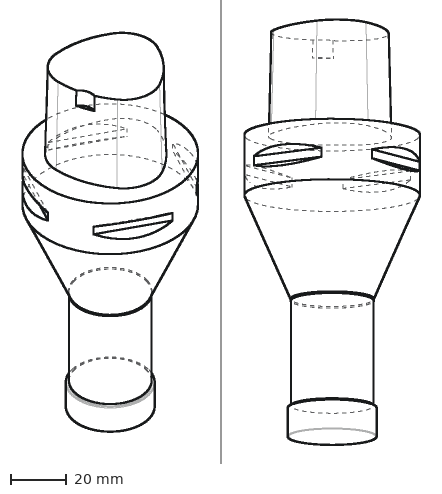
import cadquery as cq
import math

total_height = 148.0
shank_height = 37.9
collar_height = 22.0
cone_height = 37.7
head_height = 11.4
rim_height = 10.8

collar_top = total_height - shank_height
collar_bottom = collar_top - collar_height
cone_bottom = collar_bottom - cone_height

collar_radius = 63.0 / 2
neck_radius = 29.6 / 2
rim_radius = 32.0 / 2
rim_rounding = 0.3
land_step = 0.1
land_height = 0.6

lobe_reach = 23.4
side_reach = 20.1
lobe_radius = 14.4
shank_taper = math.degrees(math.atan(1 / 40))

notch_width = 7.7
notch_depth = 1.3
notch_height = 6.5

groove_count = 4
groove_first_angle = 45.0
groove_axis_height = 98.0
groove_floor_distance = 27.8
groove_floor_height = 3.3
groove_flank_angle = 30.0


def polar_point(center, radius, angle):
    """Point at the given radius and angle (degrees) around a center."""
    return (
        center[0] + radius * math.cos(math.radians(angle)),
        center[1] + radius * math.sin(math.radians(angle)),
    )


def make_shank():
    """Tapered prism bounded by three lobe arcs and three tangent side arcs."""
    axis = (0.0, 0.0)
    lobe_offset = lobe_reach - lobe_radius
    slack = lobe_reach - side_reach
    side_offset = slack * (2 * lobe_offset - slack) / (lobe_offset - 2 * slack)
    lobe_half_angle = 60 - math.degrees(
        math.atan2(
            lobe_offset * math.sin(math.radians(60)),
            lobe_offset * math.cos(math.radians(60)) + side_offset,
        )
    )

    lobe_angles = [90 + 120 * i for i in range(3)]
    first_center = polar_point(axis, lobe_offset, lobe_angles[0])
    outline = cq.Workplane("XY", origin=(0, 0, collar_top)).moveTo(
        *polar_point(first_center, lobe_radius, lobe_angles[0] - lobe_half_angle)
    )
    for angle in lobe_angles:
        center = polar_point(axis, lobe_offset, angle)
        next_center = polar_point(axis, lobe_offset, angle + 120)
        outline = outline.threePointArc(
            polar_point(axis, lobe_reach, angle),
            polar_point(center, lobe_radius, angle + lobe_half_angle),
        ).threePointArc(
            polar_point(axis, side_reach, angle + 60),
            polar_point(next_center, lobe_radius, angle + 120 - lobe_half_angle),
        )
    return outline.close().extrude(shank_height, taper=shank_taper)


def make_notch_cutter():
    """Upright cylinder that hollows the middle of the -Y side at the top."""
    half_width = notch_width / 2
    radius = (half_width**2 + notch_depth**2) / (2 * notch_depth)
    top_side_reach = side_reach - shank_height * math.tan(math.radians(shank_taper))
    center_y = -(top_side_reach - notch_depth + radius)
    return (
        cq.Workplane("XY", origin=(0, center_y, total_height - notch_height))
        .circle(radius)
        .extrude(notch_height)
    )


def make_groove_cutter(angle):
    """Straight groove with a flat floor and flaring flanks, at an angle around the axis."""
    half_floor = groove_floor_height / 2
    depth = collar_radius - groove_floor_distance
    half_mouth = half_floor + depth * math.tan(math.radians(groove_flank_angle))
    return (
        cq.Workplane("XZ", origin=(0, 0, groove_axis_height))
        .polyline([
            (groove_floor_distance, -half_floor),
            (collar_radius, -half_mouth),
            (collar_radius, half_mouth),
            (groove_floor_distance, half_floor),
        ])
        .close()
        .extrude(collar_radius, both=True)
        .rotate((0, 0, 0), (0, 0, 1), angle)
    )


def make_holder():
    """Collar, cone and neck turned about Z, with the shank on top."""
    land_radius = neck_radius + land_step
    turned = (
        cq.Workplane("XZ")
        .polyline([
            (0, head_height),
            (neck_radius, head_height),
            (neck_radius, cone_bottom - land_height),
            (land_radius, cone_bottom - land_height),
            (land_radius, cone_bottom),
            (collar_radius, collar_bottom),
            (collar_radius, collar_top),
            (0, collar_top),
        ])
        .close()
        .revolve(360, (0, 0, 0), (0, 1, 0))
    )
    holder = turned.union(make_shank()).cut(make_notch_cutter())
    for i in range(groove_count):
        holder = holder.cut(make_groove_cutter(groove_first_angle + i * 360 / groove_count))
    return holder


def make_cutting_head():
    """Wide round-edged rim with a short filleted spigot that meets the end of the neck."""
    rim = cq.Workplane("XY").circle(rim_radius).extrude(rim_height)
    spigot = (
        cq.Workplane("XY", origin=(0, 0, rim_height))
        .circle(neck_radius)
        .extrude(head_height - rim_height)
    )
    return rim.union(spigot).edges("%CIRCLE").edges("not(>Z)").fillet(rim_rounding)


holder = make_holder()
cutting_head = make_cutting_head()

result = cq.Compound.makeCompound([holder.solids().val(), cutting_head.solids().val()])